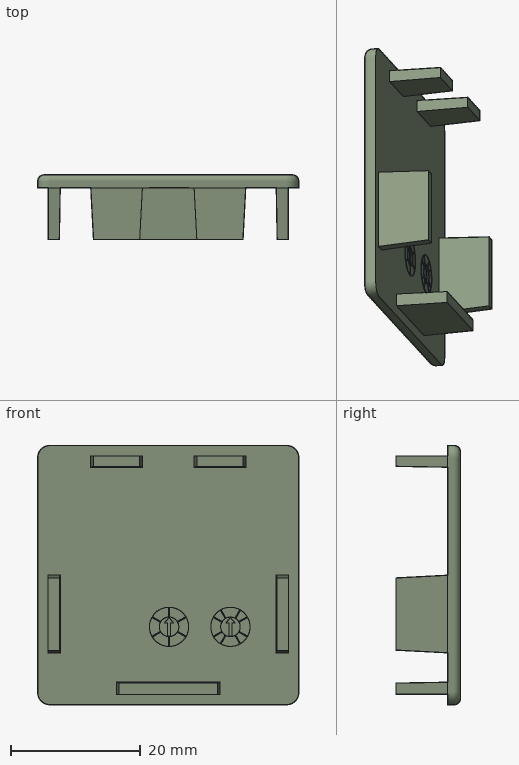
import cadquery as cq
import math

plate_width = 40.3
plate_height = 40.0
plate_thickness = 2.0
corner_radius = 1.9
edge_radius = plate_thickness / 2

total_depth = 10.0
tab_length = total_depth - plate_thickness
edge_gap = 1.6
end_draft = 3.0
inner_draft = 1.0

side_tab_span = 12.0
side_tab_thickness = 1.9
side_tab_drop = 6.0

top_tab_span = 7.98
top_tab_thickness = 1.77
top_tab_offset = 7.98

bottom_tab_span = 2 * top_tab_span
bottom_tab_thickness = side_tab_thickness

dial_radius = 3.02
hub_radius = dial_radius / 2
dial_depth = 0.1
dial_drop = 7.98
year_dial_x = 0.12
month_dial_x = 9.6
tick_width = 0.12
arrow_half_length = 1.45
arrow_head_base = 0.6
arrow_head_width = 1.37
arrow_stem_width = 0.5
year_ticks = range(0, 360, 60)
month_ticks = [angle for angle in range(0, 360, 30) if angle % 90 != 0]


def make_plate():
    """Rounded rectangle from Y = 0 to Y = plate_thickness, with the outer rim rounded over."""
    return (
        cq.Workplane("XZ")
        .rect(plate_width, plate_height)
        .extrude(-plate_thickness)
        .edges("|Y")
        .fillet(corner_radius)
        .faces(">Y")
        .edges()
        .fillet(edge_radius)
    )


def make_tab(span, thickness, edge_distance, angle, shift=0.0):
    """Tab along the top edge, turned by angle about Y; edge_distance is plate centre to plate edge.

    The outer face is square to the plate; the inner face and both ends are drafted.
    """
    outer = edge_distance - edge_gap
    tip_span = span - 2 * tab_length * math.tan(math.radians(end_draft))
    tip_thickness = thickness - tab_length * math.tan(math.radians(inner_draft))
    return (
        cq.Workplane("XZ")
        .center(shift, outer - thickness / 2)
        .rect(span, thickness)
        .workplane(offset=tab_length)
        .center(0, (thickness - tip_thickness) / 2)
        .rect(tip_span, tip_thickness)
        .loft(ruled=True)
        .rotate((0, 0, 0), (0, 1, 0), angle)
    )


def make_dial_cutter(center_x, tick_angles):
    """Ring with gaps that leave the division ticks standing, plus the arrow inside the hub."""
    ring = cq.Workplane("XZ").circle(dial_radius).circle(hub_radius).extrude(-dial_depth)
    tick_blank = (
        cq.Workplane("XZ")
        .center(0, (dial_radius + hub_radius) / 2)
        .rect(tick_width, dial_radius - hub_radius)
        .extrude(-dial_depth)
    )
    for angle in tick_angles:
        ring = ring.cut(tick_blank.rotate((0, 0, 0), (0, 1, 0), angle))
    arrow = (
        cq.Workplane("XZ")
        .moveTo(0, arrow_half_length)
        .lineTo(arrow_head_width / 2, arrow_head_base)
        .lineTo(arrow_stem_width / 2, arrow_head_base)
        .lineTo(arrow_stem_width / 2, -arrow_half_length)
        .lineTo(-arrow_stem_width / 2, -arrow_half_length)
        .lineTo(-arrow_stem_width / 2, arrow_head_base)
        .lineTo(-arrow_head_width / 2, arrow_head_base)
        .close()
        .extrude(-dial_depth)
    )
    return ring.add(arrow).combine().translate((center_x, 0, -dial_drop))


result = make_plate()

for side in (-1, 1):
    top_tab = make_tab(top_tab_span, top_tab_thickness, plate_height / 2, 0, side * top_tab_offset)
    side_tab = make_tab(
        side_tab_span, side_tab_thickness, plate_width / 2, side * 90, side * side_tab_drop
    )
    result = result.union(top_tab).union(side_tab)

bottom_tab = make_tab(bottom_tab_span, bottom_tab_thickness, plate_height / 2, 180)
result = result.union(bottom_tab)

for dial_x, ticks in ((year_dial_x, year_ticks), (month_dial_x, month_ticks)):
    result = result.cut(make_dial_cutter(dial_x, ticks))